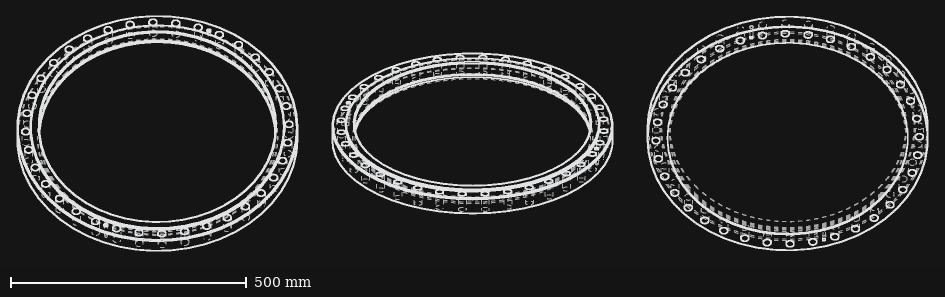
import cadquery as cq
import math

flange_diameter = 595.0
flange_radius = flange_diameter / 2
flange_top = 38.0
top_chamfer = 2.5
bottom_chamfer = 1.0
bore_radius = 250.0
bore_chamfer = 2.5

face_radius = 268.0
face_height = 5.0
step_radius = 269.5
step_height = 2.0
step_top = flange_top + step_height
face_top = flange_top + face_height

bolt_count = 36
bolt_pitch = 360 / bolt_count
bolt_circle_radius = 279.0
bolt_hole_diameter = 16.5
small_hole_diameter = 6.0
small_hole_chamfer = 1.0
small_hole_angles = (90 + bolt_pitch / 2, 270 + bolt_pitch / 2)

total_height = 109.0
dome_radius = 500.0
dome_thickness = 5.0
skirt_height = 5.5
skirt_gap = 2.0
skirt_radius = bore_radius + dome_thickness
dome_bottom = face_top - total_height
dome_center_z = dome_bottom + dome_radius


def dome_height(sphere_radius, radius):
    """Height of a dome sphere's surface at a distance from the axis."""
    return dome_center_z - math.sqrt(sphere_radius**2 - radius**2)


inner_sphere_radius = dome_radius - dome_thickness
skirt_bottom = dome_height(inner_sphere_radius, bore_radius)
skirt_top = skirt_bottom + skirt_height
recess_top = skirt_top + skirt_gap


def make_flange():
    ring = (
        cq.Workplane("XZ")
        .moveTo(bore_radius, recess_top)
        .lineTo(skirt_radius, recess_top)
        .lineTo(skirt_radius, 0)
        .lineTo(flange_radius - bottom_chamfer, 0)
        .lineTo(flange_radius, bottom_chamfer)
        .lineTo(flange_radius, flange_top - top_chamfer)
        .lineTo(flange_radius - top_chamfer, flange_top)
        .lineTo(step_radius, flange_top)
        .lineTo(step_radius, step_top)
        .lineTo(face_radius, step_top)
        .lineTo(face_radius, face_top)
        .lineTo(bore_radius + bore_chamfer, face_top)
        .lineTo(bore_radius, face_top - bore_chamfer)
        .close()
        .revolve(360, (0, 0, 0), (0, 1, 0))
    )
    ring = drill(ring, [i * bolt_pitch for i in range(bolt_count)], bolt_hole_diameter)
    return drill(ring, small_hole_angles, small_hole_diameter, small_hole_chamfer)


def drill(ring, angles, diameter, chamfer=0):
    """Drill vertical through holes on the bolt circle, with an optional chamfer at their top edge."""
    hole = cq.Workplane("XY").circle(diameter / 2).extrude(flange_top)
    if chamfer:
        cone = cq.Solid.makeCone(
            diameter / 2, diameter / 2 + chamfer, chamfer, cq.Vector(0, 0, flange_top - chamfer)
        )
        hole = hole.union(cone)
    hole = hole.translate((bolt_circle_radius, 0, 0))
    for angle in angles:
        ring = ring.cut(hole.rotate((0, 0, 0), (0, 0, 1), angle))
    return ring


def make_dome():
    mid_radius = bore_radius / 2
    return (
        cq.Workplane("XZ")
        .moveTo(0, dome_bottom)
        .threePointArc(
            (mid_radius, dome_height(dome_radius, mid_radius)),
            (skirt_radius, dome_height(dome_radius, skirt_radius)),
        )
        .lineTo(skirt_radius, skirt_top)
        .lineTo(bore_radius, skirt_top)
        .lineTo(bore_radius, skirt_bottom)
        .threePointArc(
            (mid_radius, dome_height(inner_sphere_radius, mid_radius)),
            (0, dome_bottom + dome_thickness),
        )
        .close()
        .revolve(360, (0, 0, 0), (0, 1, 0))
    )


flange = make_flange()
dome = make_dome()

result = cq.Compound.makeCompound([flange.val(), dome.val()])